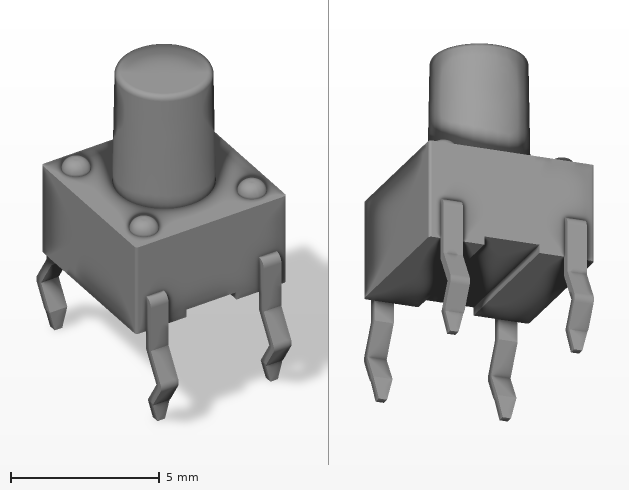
import cadquery as cq
import math

total_height = 11.5
base_bottom = 3.5
cover_top = 7.0

housing_side = 6.0
corner_radius = 0.1
cover_thickness = 0.31
notch_width = 2.0
notch_height = 0.3

rivet_diameter = 1.0
rivet_height = 0.4
rivet_offset = 2.15

button_bottom_diameter = 3.5
button_top_diameter = 3.34
button_edge_radius = 0.2

leg_span = 7.9
leg_thickness = 0.3
leg_width = 0.7
leg_top = 4.9
leg_pitch = 4.5
elbow_height = 1.69
bend_angle = 31.0
foot_inner_x = 3.1
foot_tip_width = 0.3


def square_block(bottom, height):
    """Square block of the housing outline with rounded vertical edges."""
    return (
        cq.Workplane("XY", origin=(0, 0, bottom))
        .rect(housing_side, housing_side)
        .extrude(height)
        .edges("|Z")
        .fillet(corner_radius)
    )


def make_base():
    """Housing block with a shallow notch across its underside along X."""
    block = square_block(base_bottom, cover_top - cover_thickness - base_bottom)
    notch = cq.Workplane("XY", origin=(0, 0, base_bottom)).box(
        housing_side, notch_width, notch_height, centered=(True, True, False)
    )
    return block.cut(notch)


def make_rivet_head():
    """Dome with a small flat crown, standing on the cover's top face at the Z axis."""
    radius = rivet_diameter / 2
    crown_radius = radius - rivet_height
    arc_reach = rivet_height * math.sqrt(0.5)
    return (
        cq.Workplane("XZ", origin=(0, 0, cover_top))
        .lineTo(radius, 0)
        .threePointArc((crown_radius + arc_reach, arc_reach), (crown_radius, rivet_height))
        .lineTo(0, rivet_height)
        .close()
        .revolve(360, (0, 0, 0), (0, 1, 0))
    )


def make_cover():
    """Square plate with a rivet head near each corner."""
    cover = square_block(cover_top - cover_thickness, cover_thickness)
    rivet_head = make_rivet_head()
    for x in (-rivet_offset, rivet_offset):
        for y in (-rivet_offset, rivet_offset):
            cover = cover.union(rivet_head.translate((x, y, 0)))
    return cover


def make_button():
    """Tapered round button standing on the cover, with a rounded top edge."""
    return (
        cq.Workplane("XZ", origin=(0, 0, cover_top))
        .lineTo(button_bottom_diameter / 2, 0)
        .lineTo(button_top_diameter / 2, total_height - cover_top)
        .lineTo(0, total_height - cover_top)
        .close()
        .revolve(360, (0, 0, 0), (0, 1, 0))
        .faces(">Z")
        .edges()
        .fillet(button_edge_radius)
    )


def make_leg():
    """Leg for the +X side, centred on Y = 0, with a pointed foot."""
    slope = math.radians(bend_angle)
    miter_rise = leg_thickness * math.tan(slope / 2)

    wall_x = housing_side / 2
    elbow_x = leg_span / 2 - leg_thickness
    upper_bend = elbow_height + (elbow_x - wall_x) / math.tan(slope)
    lower_bend = elbow_height - (elbow_x - foot_inner_x) / math.tan(slope)

    outer_x = wall_x + leg_thickness
    shoulder_reach = leg_thickness * math.sqrt(0.5)
    shoulder_bottom = leg_top - leg_thickness
    elbow_outer_x = elbow_x + leg_thickness * math.cos(slope)
    elbow_half_height = leg_thickness * math.sin(slope)
    foot_bend = lower_bend - miter_rise

    strip = (
        cq.Workplane("XZ")
        .moveTo(wall_x, leg_top)
        .lineTo(wall_x, upper_bend)
        .lineTo(elbow_x, elbow_height)
        .lineTo(foot_inner_x, lower_bend)
        .lineTo(foot_inner_x, 0)
        .lineTo(foot_inner_x + leg_thickness, 0)
        .lineTo(foot_inner_x + leg_thickness, foot_bend)
        .lineTo(elbow_outer_x, elbow_height - elbow_half_height)
        .threePointArc(
            (elbow_x + leg_thickness, elbow_height),
            (elbow_outer_x, elbow_height + elbow_half_height),
        )
        .lineTo(outer_x, upper_bend + miter_rise)
        .lineTo(outer_x, shoulder_bottom)
        .threePointArc(
            (wall_x + shoulder_reach, shoulder_bottom + shoulder_reach),
            (wall_x, leg_top),
        )
        .close()
        .extrude(leg_width / 2, both=True)
    )
    width_outline = (
        cq.Workplane("YZ")
        .moveTo(-foot_tip_width / 2, 0)
        .lineTo(foot_tip_width / 2, 0)
        .lineTo(leg_width / 2, lower_bend)
        .lineTo(leg_width / 2, leg_top)
        .lineTo(-leg_width / 2, leg_top)
        .lineTo(-leg_width / 2, lower_bend)
        .close()
        .extrude(leg_span / 2)
    )
    return strip.intersect(width_outline)


base = make_base()
cover = make_cover()
button = make_button()

right_leg = make_leg()
left_leg = right_leg.mirror("YZ")
legs = []
for side_leg in (left_leg, right_leg):
    for y in (-leg_pitch / 2, leg_pitch / 2):
        legs.append(side_leg.translate((0, y, 0)).val())

result = cq.Compound.makeCompound([base.val(), cover.val(), button.val(), *legs])